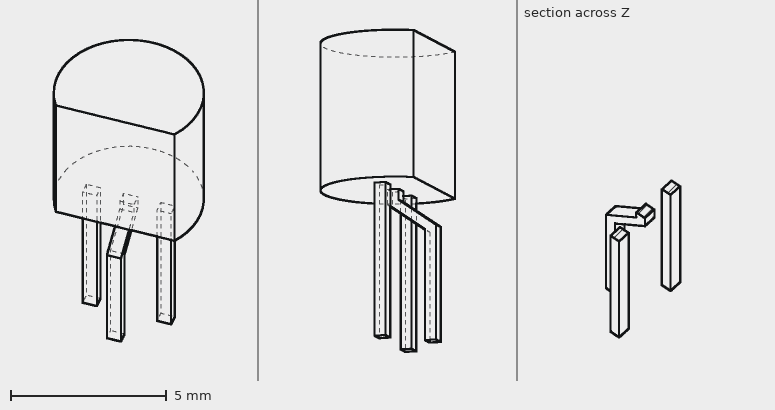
import cadquery as cq
import math

total_height = 9.8

body_radius = 2.41
body_height = 4.8
flat_distance = 1.32

leg_width = 0.48
leg_depth = 0.37
leg_pitch = 1.26
leg_length = total_height - body_height

bend_offset = 1.27
bend_drop = 0.89
front_bend_depth = 0.35
back_bend_depth = 0.5


def make_body():
    flat_half_width = math.sqrt(body_radius**2 - flat_distance**2)
    return (
        cq.Workplane("XY", origin=(0, 0, leg_length))
        .moveTo(-flat_half_width, -flat_distance)
        .threePointArc((0, body_radius), (flat_half_width, -flat_distance))
        .close()
        .extrude(body_height)
    )


def make_straight_leg(x):
    return (
        cq.Workplane("XY")
        .center(x, 0)
        .rect(leg_width, leg_depth)
        .extrude(leg_length)
    )


def make_bent_leg():
    front = -leg_depth / 2
    back = leg_depth / 2
    front_bend = leg_length - front_bend_depth
    back_bend = leg_length - back_bend_depth
    side_profile = [
        (front, leg_length),
        (front, front_bend),
        (front - bend_offset, front_bend - bend_drop),
        (front - bend_offset, 0),
        (back - bend_offset, 0),
        (back - bend_offset, back_bend - bend_drop),
        (back, back_bend),
        (back, leg_length),
    ]
    return (
        cq.Workplane("YZ")
        .polyline(side_profile)
        .close()
        .extrude(leg_width / 2, both=True)
    )


result = make_body().union(make_bent_leg())
for leg_x in (-leg_pitch, leg_pitch):
    result = result.union(make_straight_leg(leg_x))